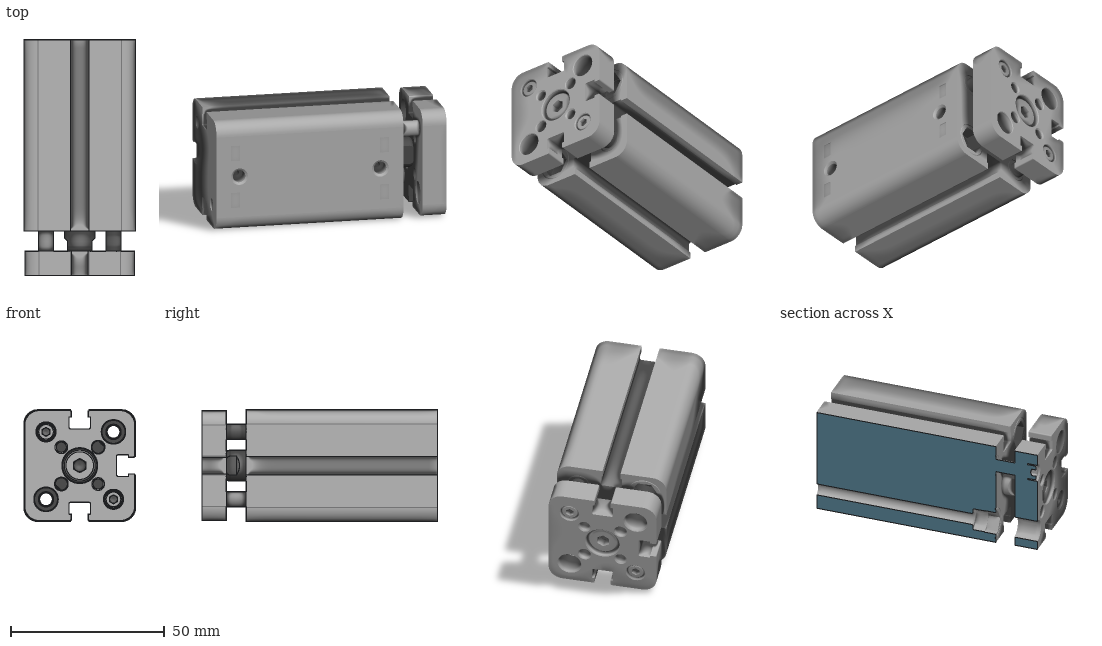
import cadquery as cq
import math


TOTAL_LENGTH = 76.6
PLATE_THICKNESS = 8.0
PLATE_GAP = 6.4
Y_PLATE_FACE = -TOTAL_LENGTH / 2
Y_PLATE_BACK = Y_PLATE_FACE + PLATE_THICKNESS
Y_BODY_FRONT = Y_PLATE_BACK + PLATE_GAP
Y_BODY_BACK = TOTAL_LENGTH / 2
PORT_FROM_END = 7.65
EMBED = 0.8

BODY_WIDTH = 36.3
PLATE_WIDTH = 35.7
CORNER_RADIUS = 4.6

SLOT_ANGLES = (0, 90, 180)
SLOT_FLOOR = 11.95
SLOT_SHOULDER = 15.8
SLOT_WIDTH = 7.0
SLOT_FLOOR_RADIUS = 0.5
BODY_THROAT = 6.0
PLATE_THROAT = 5.4
PLATE_LIP_RADIUS = 0.4

ROD_DIAMETER = 10.0
ROD_FLAT_WIDTH = 8.0
ROD_FLAT_START = Y_BODY_FRONT - 2.15
ROD_TIP_START = Y_BODY_FRONT - 5.2
ROD_TIP_RADIUS = 1.9

CORNER_OFFSET = 10.95
GUIDE_CORNERS = ((-CORNER_OFFSET, CORNER_OFFSET), (CORNER_OFFSET, -CORNER_OFFSET))
COVER_CORNERS = ((CORNER_OFFSET, CORNER_OFFSET), (-CORNER_OFFSET, -CORNER_OFFSET))
GUIDE_DIAMETER = 5.0
BUSHING_DIAMETER = 7.5
JOINT_GROOVE = 0.3

COVER_DIAMETER = 11.1
COVER_HEX = 8.0
COVER_HEX_DEPTH = 4.0
COVER_BORE = 7.8
COVER_BORE_DEPTH = 8.0
THROUGH_HOLE = 4.1
THROUGH_HOLE_RIM = 5.0
PLATE_ACCESS_HOLE = 7.5
PLATE_ACCESS_RIM = 8.0

INNER_OFFSET = 6.0
THREAD_HOLE = 3.3
THREAD_RIM = 4.1
PIN_HOLE = 4.0
PIN_RIM = 4.45

CENTRE_SCREW = dict(bore=11.1, rim=11.65, head=10.0, face=9.0, recess=1.1, bore_depth=5.05,
                    hex_size=4.0, hex_depth=3.0)
GUIDE_SCREW = dict(bore=6.0, rim=6.5, head=5.5, face=4.75, recess=0.45, bore_depth=3.45,
                   hex_size=2.5, hex_depth=1.5)
HEX_TIP_ANGLE = 120.0
SCREW_HEX_TURN = 30

PORT_RIM = 5.5
PORT_DIAMETER = 4.1
PORT_DEPTH = 5.0
PORT_DRILL = 1.8
PORT_DRILL_DEPTH = 7.65
LABEL_LENGTH = 3.0
LABEL_HEIGHT = 5.05
LABEL_OFFSET = 7.9
LABEL_SHIFT = 1.4
LABEL_DEPTH = 0.15


def cylinder(x, z, y, diameter, length):
    """Cylinder running from y towards +Y."""
    return cq.Workplane("XY").add(
        cq.Solid.makeCylinder(diameter / 2, length, cq.Vector(x, y, z), cq.Vector(0, 1, 0)))


def cone(x, z, y, start_diameter, end_diameter, length):
    """Cone running from y towards +Y."""
    return cq.Workplane("XY").add(
        cq.Solid.makeCone(start_diameter / 2, end_diameter / 2, length,
                          cq.Vector(x, y, z), cq.Vector(0, 1, 0)))


def hexagon(x, z, y, across_flats, length, turn=0):
    """Hexagonal prism from y towards +Y; turn 0 puts two vertices on the X line."""
    prism = (cq.Workplane("XZ").polygon(6, across_flats / math.cos(math.radians(30)))
             .extrude(-length))
    return prism.rotate((0, 0, 0), (0, 1, 0), turn).translate((x, y, z))


def rimmed_hole(x, z, y, diameter, rim, length):
    """Hole from y towards +Y with a 45 degree rim."""
    return cylinder(x, z, y, diameter, length).union(
        cone(x, z, y, rim, diameter, (rim - diameter) / 2))


def joint_groove(x, z, diameter):
    """V-groove in the body front around a round insert."""
    inner = diameter - 2 * JOINT_GROOVE
    return cylinder(x, z, Y_BODY_FRONT, diameter, JOINT_GROOVE).cut(
        cone(x, z, Y_BODY_FRONT, inner, diameter, JOINT_GROOVE))


def t_slot(throat, side, lip_radius, y, length):
    """T-slot open towards +Z, outer lip edges rounded unless lip_radius is 0."""
    overshoot = 0.8
    wide = (cq.Workplane("XY")
            .box(SLOT_WIDTH, length, SLOT_SHOULDER - SLOT_FLOOR, centered=(True, False, False))
            .translate((0, y, SLOT_FLOOR))
            .edges("|Y and <Z").fillet(SLOT_FLOOR_RADIUS))
    half = throat / 2
    neck_bottom = SLOT_FLOOR + SLOT_FLOOR_RADIUS
    profile = cq.Workplane("XZ", origin=(0, y, 0)).moveTo(-half, neck_bottom)
    if lip_radius:
        profile = (profile.lineTo(-half, side - lip_radius)
                   .radiusArc((-half - lip_radius, side), -lip_radius)
                   .lineTo(-half - lip_radius, side + overshoot)
                   .lineTo(half + lip_radius, side + overshoot)
                   .lineTo(half + lip_radius, side)
                   .radiusArc((half, side - lip_radius), -lip_radius))
    else:
        profile = profile.lineTo(-half, side + overshoot).lineTo(half, side + overshoot)
    neck = profile.lineTo(half, neck_bottom).close().extrude(-length)
    return wide.union(neck)


def slotted_block(width, throat, lip_radius, y, length):
    """Rounded square block with three T-slots."""
    block = (cq.Workplane("XY").box(width, length, width, centered=(True, False, True))
             .translate((0, y, 0)).edges("|Y").fillet(CORNER_RADIUS))
    slot = t_slot(throat, width / 2, lip_radius, y, length)
    for angle in SLOT_ANGLES:
        block = block.cut(slot.rotate((0, 0, 0), (0, 1, 0), angle))
    return block


def add_cover_screw(solid, x, z):
    """Hollow socket screw sunk in the body front, with a hole through the body."""
    hex_floor = Y_BODY_FRONT + COVER_HEX_DEPTH
    bore_floor = Y_BODY_FRONT + COVER_BORE_DEPTH
    solid = solid.cut(joint_groove(x, z, COVER_DIAMETER))
    solid = solid.cut(hexagon(x, z, Y_BODY_FRONT, COVER_HEX, COVER_HEX_DEPTH))
    solid = solid.cut(cylinder(x, z, hex_floor, COVER_BORE, COVER_BORE_DEPTH - COVER_HEX_DEPTH))
    return solid.cut(rimmed_hole(x, z, bore_floor, THROUGH_HOLE, THROUGH_HOLE_RIM,
                                 Y_BODY_BACK - bore_floor))


def add_port(solid, y, end_direction):
    """Air port with two label recesses on the -X side; end_direction is the sign of Y of the nearer end."""
    side = cq.Workplane("YZ", origin=(-BODY_WIDTH / 2, y, 0))
    port = rimmed_hole(0, 0, 0, PORT_DIAMETER, PORT_RIM, PORT_DEPTH)
    port = port.union(cylinder(0, 0, 0, PORT_DRILL, PORT_DRILL_DEPTH))
    solid = solid.cut(port.rotate((0, 0, 0), (0, 0, 1), -90).translate((-BODY_WIDTH / 2, y, 0)))
    label_y = end_direction * LABEL_SHIFT
    labels = (side.pushPoints([(label_y, LABEL_OFFSET), (label_y, -LABEL_OFFSET)])
              .rect(LABEL_LENGTH, LABEL_HEIGHT).extrude(LABEL_DEPTH))
    return solid.cut(labels)


def piston_rod():
    """Rod with two wrench flats facing +X and -X and a rounded tip."""
    y_tip = ROD_TIP_START - ROD_TIP_RADIUS
    rod = (cylinder(0, 0, y_tip, ROD_DIAMETER, Y_BODY_FRONT + EMBED - y_tip)
           .faces("<Y").edges().fillet(ROD_TIP_RADIUS))
    flat_depth = (ROD_DIAMETER - ROD_FLAT_WIDTH) / 2
    for side in (-1, 1):
        inner = side * ROD_FLAT_WIDTH / 2
        outer = side * ROD_DIAMETER / 2
        flat = (cq.Workplane("XY", origin=(0, 0, -ROD_DIAMETER / 2))
                .polyline([(outer, ROD_FLAT_START), (inner, ROD_FLAT_START - flat_depth),
                           (inner, y_tip), (outer, y_tip)])
                .close().extrude(ROD_DIAMETER))
        rod = rod.cut(flat)
    return rod


def sink_screw(solid, x, z, bore, rim, head, face, recess, bore_depth, hex_size, hex_depth):
    """Counterbore in the plate face holding a chamfered socket screw head."""
    y_head = Y_PLATE_FACE + recess
    chamfer = (head - face) / 2
    solid = solid.cut(rimmed_hole(x, z, Y_PLATE_FACE, bore, rim, bore_depth))
    solid = solid.union(cone(x, z, y_head, face, head, chamfer))
    solid = solid.union(cylinder(x, z, y_head + chamfer, head, bore_depth - recess - chamfer))
    solid = solid.cut(hexagon(x, z, y_head, hex_size, hex_depth, SCREW_HEX_TURN))
    tip_length = hex_size / 2 / math.tan(math.radians(HEX_TIP_ANGLE / 2))
    return solid.cut(cone(x, z, y_head + hex_depth, hex_size, 0, tip_length))


body = slotted_block(BODY_WIDTH, BODY_THROAT, 0, Y_BODY_FRONT, Y_BODY_BACK - Y_BODY_FRONT)
for corner_x, corner_z in COVER_CORNERS:
    body = add_cover_screw(body, corner_x, corner_z)
body = add_port(body, Y_BODY_FRONT + PORT_FROM_END, -1)
body = add_port(body, Y_BODY_BACK - PORT_FROM_END, 1)
for corner_x, corner_z in GUIDE_CORNERS:
    body = body.cut(joint_groove(corner_x, corner_z, BUSHING_DIAMETER))

plate = slotted_block(PLATE_WIDTH, PLATE_THROAT, PLATE_LIP_RADIUS, Y_PLATE_FACE, PLATE_THICKNESS)
for corner_x, corner_z in COVER_CORNERS:
    plate = plate.cut(rimmed_hole(corner_x, corner_z, Y_PLATE_FACE,
                                  PLATE_ACCESS_HOLE, PLATE_ACCESS_RIM, PLATE_THICKNESS))
for side in (-1, 1):
    plate = plate.cut(rimmed_hole(side * INNER_OFFSET, -side * INNER_OFFSET, Y_PLATE_FACE,
                                  THREAD_HOLE, THREAD_RIM, PLATE_THICKNESS))
    plate = plate.cut(rimmed_hole(side * INNER_OFFSET, side * INNER_OFFSET, Y_PLATE_FACE,
                                  PIN_HOLE, PIN_RIM, PLATE_THICKNESS))

plate = sink_screw(plate, 0, 0, **CENTRE_SCREW)
for corner_x, corner_z in GUIDE_CORNERS:
    plate = sink_screw(plate, corner_x, corner_z, **GUIDE_SCREW)

result = body.union(plate).union(piston_rod())
guide_length = PLATE_GAP + 2 * EMBED
for corner_x, corner_z in GUIDE_CORNERS:
    guide_rod = cylinder(corner_x, corner_z, Y_PLATE_BACK - EMBED, GUIDE_DIAMETER, guide_length)
    result = result.union(guide_rod)